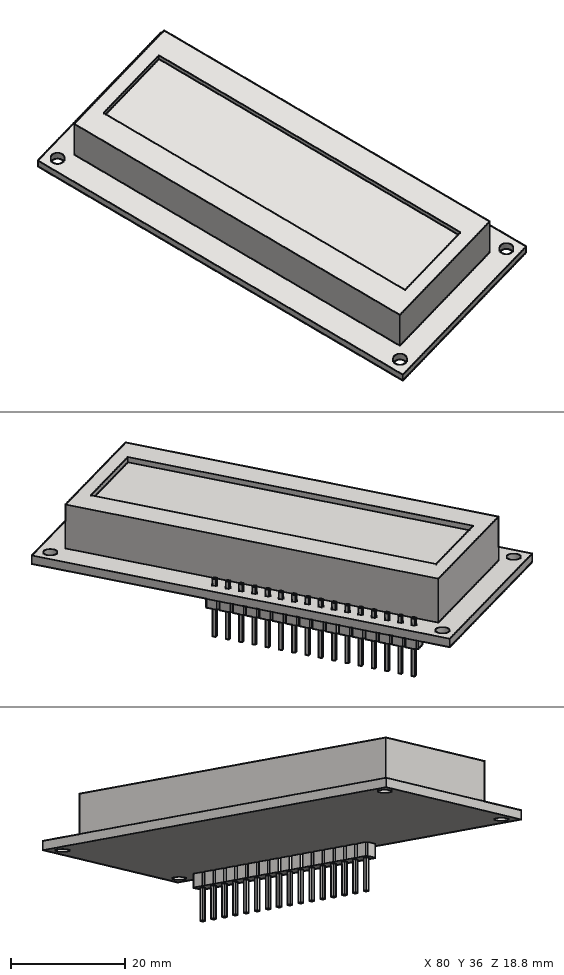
import cadquery as cq

BOARD_LENGTH = 80.0
BOARD_WIDTH = 36.0
BOARD_THICKNESS = 1.7
MOUNT_HOLE_DIAMETER = 2.5
HOLE_INSET = 2.5

FRAME_LENGTH = 71.4
FRAME_WIDTH = 26.2
FRAME_HEIGHT = 8.6
WINDOW_LENGTH = 66.1
WINDOW_WIDTH = 16.2
WINDOW_DEPTH = 1.0

PIN_COUNT = 16
HEADER_LENGTH = 40.6
PIN_PITCH = HEADER_LENGTH / PIN_COUNT
PIN_SIZE = 0.6
PIN_HOLE_DIAMETER = 1.0
FIRST_PIN_INSET = 8.0
PIN_ROW_INSET = 2.6
PIN_RISE = 1.4
TIP_CHAMFER = 0.12
BLOCK_HEIGHT = 2.5
BLOCK_CHAMFER = 0.28
TOTAL_HEIGHT = 18.8

FRAME_TOP = BOARD_THICKNESS + FRAME_HEIGHT
PIN_TOP = BOARD_THICKNESS + PIN_RISE
PIN_BOTTOM = FRAME_TOP - TOTAL_HEIGHT
PIN_ROW_Y = BOARD_WIDTH / 2 - PIN_ROW_INSET
FIRST_PIN_X = FIRST_PIN_INSET - BOARD_LENGTH / 2
PIN_POINTS = [(FIRST_PIN_X + i * PIN_PITCH, PIN_ROW_Y) for i in range(PIN_COUNT)]


def make_display():
    """Board and frame in one piece, with the window and all the holes."""
    board = cq.Workplane("XY").box(
        BOARD_LENGTH, BOARD_WIDTH, BOARD_THICKNESS, centered=(True, True, False)
    )
    frame = (
        cq.Workplane("XY")
        .workplane(offset=BOARD_THICKNESS)
        .rect(FRAME_LENGTH, FRAME_WIDTH)
        .extrude(FRAME_HEIGHT)
    )
    window = (
        cq.Workplane("XY")
        .workplane(offset=FRAME_TOP)
        .rect(WINDOW_LENGTH, WINDOW_WIDTH)
        .extrude(-WINDOW_DEPTH)
    )
    mount_holes = (
        cq.Workplane("XY")
        .rect(BOARD_LENGTH - 2 * HOLE_INSET, BOARD_WIDTH - 2 * HOLE_INSET, forConstruction=True)
        .vertices()
        .circle(MOUNT_HOLE_DIAMETER / 2)
        .extrude(BOARD_THICKNESS)
    )
    pin_holes = (
        cq.Workplane("XY")
        .pushPoints(PIN_POINTS)
        .circle(PIN_HOLE_DIAMETER / 2)
        .extrude(BOARD_THICKNESS)
    )
    return board.union(frame).cut(window).cut(mount_holes).cut(pin_holes)


def make_header_cell(x, y):
    """One eight-sided block of the header with its square pin, chamfered at both tips."""
    block = (
        cq.Workplane("XY")
        .center(x, y)
        .rect(PIN_PITCH, PIN_PITCH)
        .extrude(-BLOCK_HEIGHT)
        .edges("|Z")
        .chamfer(BLOCK_CHAMFER)
    )
    pin = (
        cq.Workplane("XY")
        .workplane(offset=PIN_BOTTOM)
        .center(x, y)
        .rect(PIN_SIZE, PIN_SIZE)
        .extrude(PIN_TOP - PIN_BOTTOM)
        .faces("<Z or >Z")
        .chamfer(TIP_CHAMFER)
    )
    return block.union(pin)


def make_header():
    """Row of cells joined side by side into one header."""
    header = make_header_cell(*PIN_POINTS[0])
    for x, y in PIN_POINTS[1:]:
        header = header.union(make_header_cell(x, y))
    return header


display = make_display()
header = make_header()

result = cq.Compound.makeCompound([display.val(), header.val()])